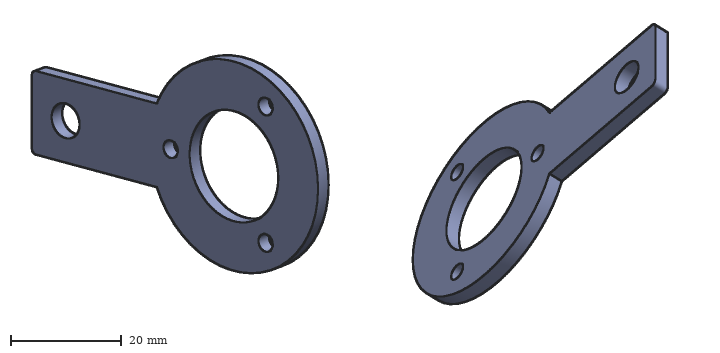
import cadquery as cq

total_length = 68.0
thickness = 3.0
ring_diameter = 40.0
bore_diameter = 21.0
tab_width = 16.0
tab_corner_radius = 1.0
tab_hole_diameter = 6.6
tab_hole_end_distance = 8.0
screw_hole_diameter = 3.3
screw_circle_radius = 15.0
screw_count = 3

tab_end_x = ring_diameter / 2 - total_length
tab_length = -tab_end_x


def plate_disc(diameter):
    """Disc as thick as the plate, with its axis along Y."""
    return cq.Workplane("XZ").circle(diameter / 2).extrude(thickness)


def make_tab():
    """Tab from its rounded free end to the ring centre."""
    tab = cq.Workplane("XY").box(tab_length, thickness, tab_width)
    tab = tab.translate((tab_end_x / 2, -thickness / 2, 0))
    return tab.faces("<X").edges("|Y").fillet(tab_corner_radius)


def make_screw_holes():
    """Cutters equally spaced around the bore, the first one on the tab side."""
    first_angle = 180
    return (
        cq.Workplane("XZ")
        .polarArray(screw_circle_radius, first_angle, 360, screw_count)
        .circle(screw_hole_diameter / 2)
        .extrude(thickness)
    )


tab_hole = plate_disc(tab_hole_diameter).translate((tab_end_x + tab_hole_end_distance, 0, 0))

result = (
    plate_disc(ring_diameter)
    .union(make_tab())
    .cut(plate_disc(bore_diameter))
    .cut(tab_hole)
    .cut(make_screw_holes())
)